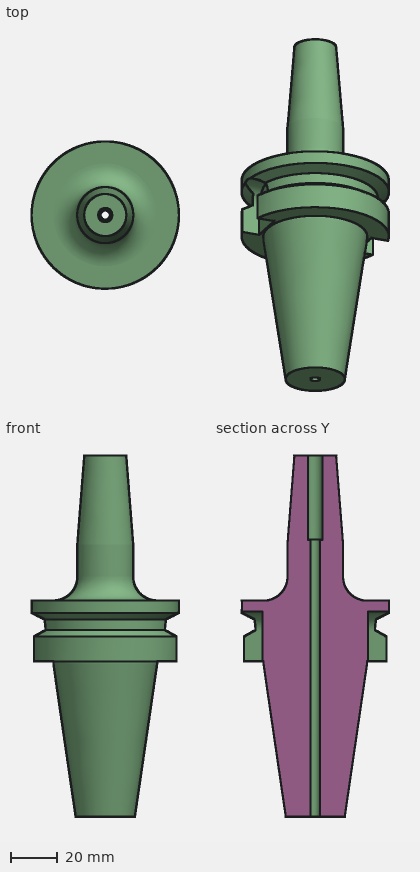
import cadquery as cq
import math


gauge_radius = 44.45 / 2
shank_length = 65.4
taper_ratio = 7 / 24
shank_end_radius = gauge_radius - shank_length * taper_ratio / 2

flange_radius = 63 / 2
flange_bottom_z = 1.0
flange_top_z = 27.0
groove_floor_radius = 53.6 / 2
groove_centre_z = 16.6
groove_mouth_width = 10.0
groove_flank_angle = 30
groove_flank_rise = (flange_radius - groove_floor_radius) * math.tan(math.radians(groove_flank_angle))
groove_bottom_z = groove_centre_z - groove_mouth_width / 2
groove_top_z = groove_centre_z + groove_mouth_width / 2

total_length = 154.3
nose_top_z = total_length - shank_length
nose_top_radius = 9.0
nose_taper_angle = 4.5
neck_radius = 12.0
neck_fillet_radius = 10.0
nose_base_z = nose_top_z - (neck_radius - nose_top_radius) / math.tan(math.radians(nose_taper_angle))

keyway_width = 16.1
keyway_arc_centre_z = 14.0
keyway_floor_distance = 22.6

bore_diameter = 6.0
bore_depth = 36.0
coolant_hole_diameter = 4.0


def make_body():
    """Revolve the half outline, drawn as (radius, z), about the Z axis."""
    fillet_centre_r = neck_radius + neck_fillet_radius
    fillet_centre_z = flange_top_z + neck_fillet_radius
    fillet_mid_offset = neck_fillet_radius * math.sqrt(0.5)
    outline = (
        cq.Workplane("XZ")
        .moveTo(0, -shank_length)
        .lineTo(shank_end_radius, -shank_length)
        .lineTo(gauge_radius, 0)
        .lineTo(gauge_radius, flange_bottom_z)
        .lineTo(flange_radius, flange_bottom_z)
        .lineTo(flange_radius, groove_bottom_z)
        .lineTo(groove_floor_radius, groove_bottom_z + groove_flank_rise)
        .lineTo(groove_floor_radius, groove_top_z - groove_flank_rise)
        .lineTo(flange_radius, groove_top_z)
        .lineTo(flange_radius, flange_top_z)
        .lineTo(fillet_centre_r, flange_top_z)
        .threePointArc(
            (fillet_centre_r - fillet_mid_offset, fillet_centre_z - fillet_mid_offset),
            (neck_radius, fillet_centre_z),
        )
        .lineTo(neck_radius, nose_base_z)
        .lineTo(nose_top_radius, nose_top_z)
        .lineTo(0, nose_top_z)
        .close()
    )
    return outline.revolve(360, (0, 0, 0), (0, 1, 0))


def make_keyway_cutter(side):
    """Round-topped keyway, open at the flange underside; side is -1 or +1 along X."""
    half_width = keyway_width / 2
    return (
        cq.Workplane("YZ", origin=(side * keyway_floor_distance, 0, 0))
        .moveTo(-half_width, 0)
        .lineTo(-half_width, keyway_arc_centre_z)
        .threePointArc((0, keyway_arc_centre_z + half_width), (half_width, keyway_arc_centre_z))
        .lineTo(half_width, 0)
        .close()
        .extrude(side * flange_radius)
    )


def make_bore_cutter():
    """Tool bore from the nose, continued by the coolant hole through the shank."""
    bore = cq.Workplane("XY", origin=(0, 0, nose_top_z)).circle(bore_diameter / 2).extrude(-bore_depth)
    coolant_hole = (
        cq.Workplane("XY", origin=(0, 0, -shank_length))
        .circle(coolant_hole_diameter / 2)
        .extrude(total_length)
    )
    return bore.union(coolant_hole)


result = make_body()
for keyway_side in (-1, 1):
    result = result.cut(make_keyway_cutter(keyway_side))
result = result.cut(make_bore_cutter())